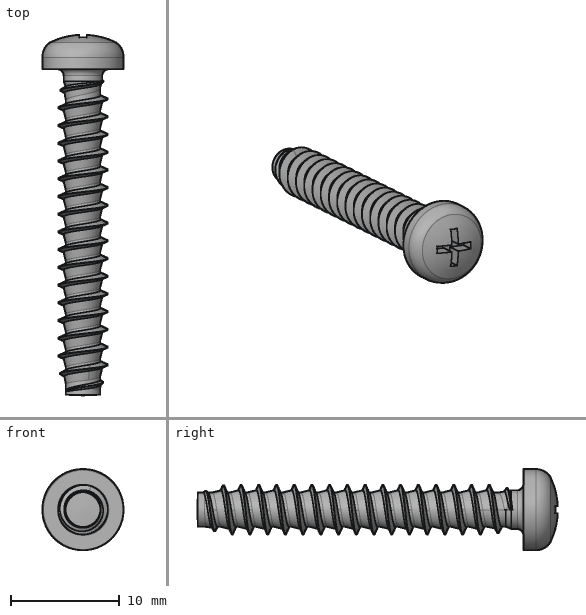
import cadquery as cq
import math

total_length = 33.15
head_height = 3.18
head_radius = 3.75

rim_height = 1.13
rim_edge_radius = 0.1
crown_edge_radius = 3.05
crown_edge_drop = 0.73

recess_span = 3.5
recess_slot_width = 0.65
recess_depth = 1.65

neck_radius = 1.8
neck_end_y = -1.1
neck_fillet_radius = 0.55
core_radius = 1.6
neck_cone_length = 0.5
tip_y = head_height - total_length
tip_cone_height = 0.05
tip_edge_y = tip_y + tip_cone_height

thread_length = 27.68
turns_to_tip = 17
thread_pitch = thread_length / turns_to_tip
crest_radius = 2.3
crest_half_width = 0.02
land_radius = 1.8
land_start = 0.23
land_end = 1.1
land_end_radius = 1.575
base_radius = 1.5
head_flank_width = 0.35
start_height = 0.5
full_height_turn = 1
fade_start_turn = 16.2
last_turn = 17.6
last_height = 0.05
points_per_turn = 16


def make_body():
    """Head and plain shank, revolved around Y."""
    crown_radius = (crown_edge_radius**2 + crown_edge_drop**2) / (2 * crown_edge_drop)
    corner_distance = recess_slot_width / math.sqrt(2)
    apex_drop = crown_radius - math.sqrt(crown_radius**2 - corner_distance**2)
    apex_y = head_height + apex_drop
    crown_edge_y = apex_y - crown_edge_drop
    crown_mid_radius = crown_edge_radius / 2
    crown_mid_y = apex_y - crown_radius + math.sqrt(crown_radius**2 - crown_mid_radius**2)

    shoulder_width = head_radius - crown_edge_radius
    shoulder_height = crown_edge_y - rim_height
    shoulder_radius = (shoulder_width**2 + shoulder_height**2) / (2 * shoulder_width)
    half_sweep = math.asin(shoulder_height / shoulder_radius) / 2
    shoulder_mid = (
        head_radius - shoulder_radius * (1 - math.cos(half_sweep)),
        rim_height + shoulder_radius * math.sin(half_sweep),
    )

    fillet_reach = neck_fillet_radius * (1 - math.sqrt(0.5))
    rim_reach = rim_edge_radius * (1 - math.sqrt(0.5))
    profile = (
        cq.Workplane("XY")
        .moveTo(0, apex_y)
        .threePointArc((crown_mid_radius, crown_mid_y), (crown_edge_radius, crown_edge_y))
        .threePointArc(shoulder_mid, (head_radius, rim_height))
        .lineTo(head_radius, rim_edge_radius)
        .threePointArc((head_radius - rim_reach, rim_reach), (head_radius - rim_edge_radius, 0))
        .lineTo(neck_radius + neck_fillet_radius, 0)
        .threePointArc(
            (neck_radius + fillet_reach, -fillet_reach), (neck_radius, -neck_fillet_radius)
        )
        .lineTo(neck_radius, neck_end_y)
        .lineTo(core_radius, neck_end_y - neck_cone_length)
        .lineTo(core_radius, tip_edge_y)
        .lineTo(0, tip_y)
        .close()
    )
    return profile.revolve(360, (0, 0, 0), (0, 1, 0))


def make_recess():
    """Cross of two equal slots with a flat floor."""
    floor_y = head_height - recess_depth
    cutter_height = 2 * recess_depth
    slots = cq.Workplane("XZ", origin=(0, floor_y, 0))
    across_x = slots.rect(recess_span, recess_slot_width).extrude(-cutter_height)
    across_z = slots.rect(recess_slot_width, recess_span).extrude(-cutter_height)
    return across_x.union(across_z)


def ridge_height(turn):
    """Share of the full thread height at a number of turns from the thread's start."""
    rising = start_height + (1 - start_height) * turn / full_height_turn
    fade_share = (turn - fade_start_turn) / (last_turn - fade_start_turn)
    falling = 1 - (1 - last_height) * fade_share
    return min(1, rising, falling)


def helical_edge(offset, radius, first_turn, end_turn):
    """Helical curve of one ridge corner, offset along Y, following the ridge height."""
    count = math.ceil((end_turn - first_turn) * points_per_turn)
    points = []
    for i in range(count + 1):
        turn = first_turn + (end_turn - first_turn) * i / count
        angle = 2 * math.pi * turn
        r = base_radius + (radius - base_radius) * ridge_height(turn)
        y = neck_end_y - thread_pitch * turn + offset
        points.append(cq.Vector(r * math.cos(angle), y, r * math.sin(angle)))
    return cq.Edge.makeSpline(points)


def make_ridge(first_turn, end_turn):
    """Solid thread ridge between two turn counts, closed by a flat face at each end."""
    corners = [
        (head_flank_width, base_radius),
        (crest_half_width, crest_radius),
        (-crest_half_width, crest_radius),
        (-land_start, land_radius),
        (-land_end, land_end_radius),
        (-land_end, base_radius),
    ]
    edges = [helical_edge(offset, radius, first_turn, end_turn) for offset, radius in corners]
    faces = [cq.Face.makeRuledSurface(a, b) for a, b in zip(edges, edges[1:] + edges[:1])]
    for end in (0, 1):
        outline = [edge.positionAt(end) for edge in edges]
        faces.append(cq.Face.makeFromWires(cq.Wire.makePolygon(outline, close=True)))
    return cq.Solid.makeSolid(cq.Shell.makeShell(faces))


def add_thread(body):
    """Join the run-in, the full-height stretch and the fade-out to the body, one after another."""
    threaded_length = (
        cq.Workplane("XZ", origin=(0, tip_edge_y, 0)).circle(head_radius).extrude(tip_edge_y)
    )
    for first_turn, end_turn in (
        (0, full_height_turn),
        (full_height_turn, fade_start_turn),
        (fade_start_turn, last_turn),
    ):
        ridge = cq.Workplane(obj=make_ridge(first_turn, end_turn))
        body = body.union(ridge.intersect(threaded_length))
    return body


result = add_thread(make_body()).cut(make_recess())